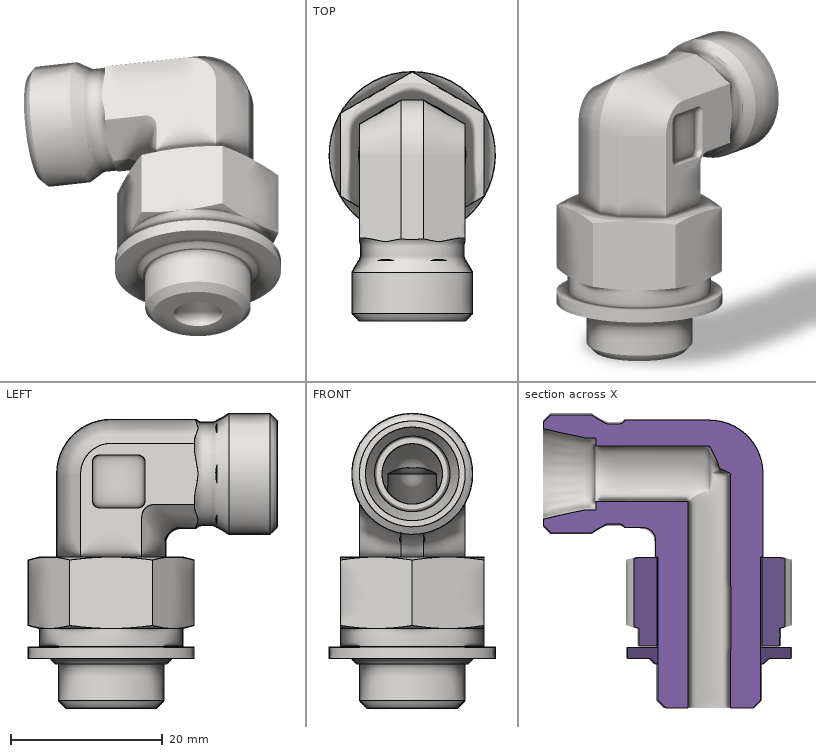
import cadquery as cq
import math

axis_height = 31.0
arm_reach = 22.0
section_flats = 14.0
section_depth = 14.44
bend_fillet = 2.0

stud_diameter = 14.0
stud_chamfer = 1.0

groove_start = 11.0
groove_end = 14.0
groove_diameter = 13.7
groove_fillet = 1.0
head_diameter = 16.0
head_chamfer = 1.0
cone_end = 15.56
cone_angle = math.radians(30)

mouth_diameter = 12.38
tube_diameter = 10.0
mouth_half_angle = math.radians(12)
socket_depth = 7.0
arm_bore = 8.0
stud_bore = 6.5
drill_half_angle = math.radians(59)

recess_size = 7.0
recess_depth = 1.2
recess_corner = 1.0
recess_y = -1.0
recess_z = 30.0

nut_top = 20.0
nut_hex_bottom = 10.55
nut_bottom = 8.2
nut_flats = 19.0
nut_bore = 14.2
nut_chamfer_angle = math.radians(15)

washer_top = 8.1
washer_bottom = 6.55
washer_diameter = 22.0
lip_height = 0.7
lip_end_diameter = 14.7

section_corner = section_flats / math.sqrt(3)


def section_points():
    """Hexagon with side flats at +X and -X and its +Y and -Y corners cut off square."""
    side = section_flats / 2
    end = section_depth / 2
    side_corner = section_corner / 2
    end_corner = (section_corner - end) * math.tan(math.radians(60))
    return [
        (side, side_corner), (end_corner, end), (-end_corner, end), (-side, side_corner),
        (-side, -side_corner), (-end_corner, -end), (end_corner, -end), (side, -side_corner),
    ]


def stud_profile():
    """Sketch plane for turning about Z: sketch x is radius, sketch y is height.

    It lies across the arm's sketch plane so that the seams of crossing bores stay apart.
    """
    return cq.Workplane("YZ")


def arm_profile():
    """Sketch plane for turning about the arm: sketch x is radius, sketch y is distance along it."""
    return cq.Workplane(cq.Plane(origin=(0, 0, axis_height), xDir=(1, 0, 0), normal=(0, 0, -1)))


def turn(profile):
    return profile.close().revolve(360, (0, 0, 0), (0, 1, 0))


def make_bent_body():
    leg = (
        cq.Workplane("XY", origin=(0, 0, nut_top))
        .polyline(section_points()).close().extrude(axis_height - nut_top)
    )
    arm = (
        cq.Workplane("XZ", origin=(0, 0, axis_height))
        .polyline(section_points()).close().extrude(groove_end)
    )
    side = section_flats / 2
    upper_half = [(side, 0)] + section_points()[:4] + [(-side, 0)]
    outer_bend = (
        cq.Workplane("XZ", origin=(0, 0, axis_height))
        .polyline(upper_half).close().revolve(90, (0, 0, 0), (-1, 0, 0))
    )
    body = leg.union(arm).union(outer_bend)

    end = section_depth / 2
    inner = section_corner / 2
    margin = 0.1
    inside_of_bend = cq.selectors.BoxSelector(
        (-side, -end - margin, axis_height - end - margin),
        (side, -inner - margin, axis_height - inner - margin),
    )
    mitre_edges = body.edges(inside_of_bend)
    return mitre_edges.fillet(bend_fillet)


def make_groove_cutter():
    """Ring around the arm that leaves a filleted neck rising into the head's back cone."""
    neck = groove_diameter / 2
    outside = section_corner + 1
    cone_slope = math.tan(cone_angle)
    cone_start = cone_end - (head_diameter / 2 - neck) / cone_slope
    tangent_length = groove_fillet * math.tan(cone_angle / 2)
    blend_radius = neck + tangent_length * math.sin(cone_angle)
    blend_end = cone_start + tangent_length * math.cos(cone_angle)
    cone_radius = neck + (groove_end - cone_start) * cone_slope
    return turn(
        arm_profile()
        .moveTo(outside, groove_start)
        .lineTo(neck + groove_fillet, groove_start)
        .radiusArc((neck, groove_start + groove_fillet), groove_fillet)
        .lineTo(neck, cone_start - tangent_length)
        .radiusArc((blend_radius, blend_end), groove_fillet)
        .lineTo(cone_radius, groove_end)
        .lineTo(outside, groove_end)
    )


def make_head():
    radius = head_diameter / 2
    back_radius = radius - (cone_end - groove_end) * math.tan(cone_angle)
    return turn(
        arm_profile()
        .moveTo(0, groove_end)
        .lineTo(back_radius, groove_end)
        .lineTo(radius, cone_end)
        .lineTo(radius, arm_reach - head_chamfer)
        .lineTo(radius - head_chamfer, arm_reach)
        .lineTo(0, arm_reach)
    )


def make_stud():
    return (
        cq.Workplane("XY").circle(stud_diameter / 2).extrude(nut_top)
        .faces("<Z").chamfer(stud_chamfer)
    )


def make_arm_passage():
    """Tapered mouth, tube socket and bore, ending in a drill tip at the bend."""
    mouth_depth = (mouth_diameter - tube_diameter) / 2 / math.tan(mouth_half_angle)
    tip_length = arm_bore / 2 / math.tan(drill_half_angle)
    return turn(
        arm_profile()
        .moveTo(0, arm_reach)
        .lineTo(mouth_diameter / 2, arm_reach)
        .lineTo(tube_diameter / 2, arm_reach - mouth_depth)
        .lineTo(tube_diameter / 2, arm_reach - socket_depth)
        .lineTo(arm_bore / 2, arm_reach - socket_depth)
        .lineTo(arm_bore / 2, 0)
        .lineTo(0, -tip_length)
    )


def make_stud_passage():
    tip_length = stud_bore / 2 / math.tan(drill_half_angle)
    return turn(
        stud_profile()
        .moveTo(0, 0)
        .lineTo(stud_bore / 2, 0)
        .lineTo(stud_bore / 2, axis_height)
        .lineTo(0, axis_height + tip_length)
    )


def make_side_recess():
    return (
        cq.Workplane("YZ", origin=(-section_flats / 2, recess_y, recess_z))
        .rect(recess_size, recess_size).extrude(recess_depth)
        .edges("|X").fillet(recess_corner)
    )


def make_elbow():
    solid = make_bent_body().cut(make_groove_cutter())
    solid = solid.union(make_head()).union(make_stud())
    solid = solid.cut(make_arm_passage()).cut(make_stud_passage())
    return solid.cut(make_side_recess())


def make_nut():
    flat_radius = nut_flats / 2
    corner_radius = nut_flats / math.sqrt(3)
    chamfer_drop = (corner_radius - flat_radius) * math.tan(nut_chamfer_angle)
    hexagon = (
        cq.Workplane("XY", origin=(0, 0, nut_bottom))
        .polygon(6, 2 * corner_radius).extrude(nut_top - nut_bottom)
        .rotate((0, 0, 0), (0, 0, 1), 30)
    )
    turned_envelope = turn(
        stud_profile()
        .moveTo(nut_bore / 2, nut_bottom)
        .lineTo(flat_radius, nut_bottom)
        .lineTo(flat_radius, nut_hex_bottom)
        .lineTo(corner_radius, nut_hex_bottom + chamfer_drop)
        .lineTo(corner_radius, nut_top - chamfer_drop)
        .lineTo(flat_radius, nut_top)
        .lineTo(nut_bore / 2, nut_top)
    )
    return hexagon.intersect(turned_envelope)


def make_washer():
    lip_radius = lip_end_diameter / 2
    return turn(
        stud_profile()
        .moveTo(stud_diameter / 2, washer_top)
        .lineTo(washer_diameter / 2, washer_top)
        .lineTo(washer_diameter / 2, washer_bottom)
        .lineTo(lip_radius + lip_height, washer_bottom)
        .lineTo(lip_radius, washer_bottom - lip_height)
        .lineTo(stud_diameter / 2, washer_bottom - lip_height)
    )


elbow = make_elbow()
nut = make_nut()
washer = make_washer()

result = cq.Compound.makeCompound([elbow.solids().val(), nut.solids().val(), washer.solids().val()])